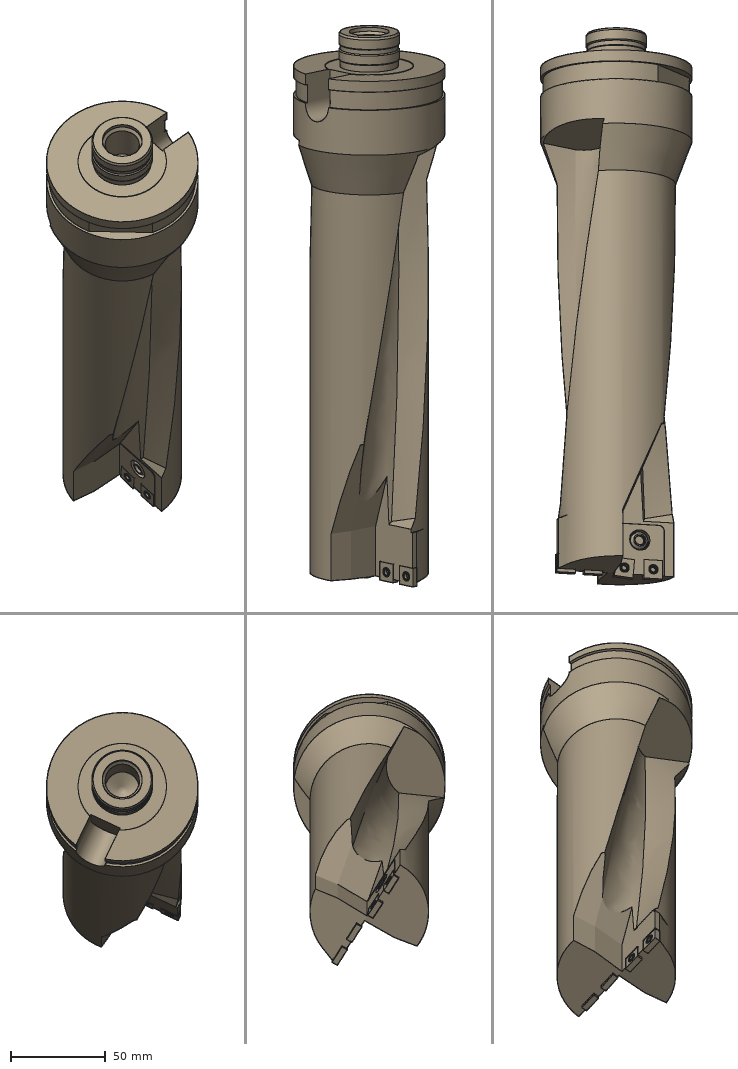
import cadquery as cq
import math

TOTAL_HEIGHT = 295.0
FLANGE_DIAMETER = 80.0
FLANGE_RADIUS = FLANGE_DIAMETER / 2
FLANGE_TOP = 276.7
FLANGE_BOTTOM = 270.8
COLLAR_RADIUS = 38.5
COLLAR_BOTTOM = 261.0
HEAD_RADIUS = FLANGE_RADIUS
CONE_TOP = 237.0
CONE_BOTTOM = 213.5
SHANK_RADIUS = 31.3
TIP_Z = 2.0
TIP_RISE = 1.8

RIB_RADIUS = 32.2 / 2
GROOVE_RADIUS = 15.3
NECK_CHAMFER = 1.2
GROOVE_FLANK = 0.5
UPPER_RIB_BOTTOM = 288.8
LOWER_RIB_TOP = 285.3
LOWER_RIB_BOTTOM = 280.5
BORE_DIAMETER = 18.0
BORE_MOUTH_DIAMETER = 21.0
BORE_MOUTH_DEPTH = 2.0
BORE_DEPTH = 23.5
BORE_TIP_ANGLE = 118.0
SEAT_DIAMETER = 46.5
SEAT_DEPTH = 0.3

SLOT_WIDTH = 17.0
SLOT_INNER_END = 20.6
SLOT_DEPTH = 24.2
FLAT_ANGLE = -43.0
FLAT_DISTANCE = 34.8

FLUTE_BOTTOM = 31.3
FLUTE_RAMP_TOP = 39.0
FLUTE_RAMP_DEPTH = 4.5
FLUTE_TOP = 244.8
TWIST_RATE = 0.3017
FLUTE_END_Z = 237.5
FLUTE_END_TILT = 13.0
FLUTE_END_SLOPE = 10.0
FLUTE_END_X = -29.5
FLUTE_END_Y = -17.7

FLUTE_LEADING_MOUTH = (-44.2, 7.7)
FLUTE_LEADING_FOOT = (-21.2, 3.5)
FLUTE_FLOOR = (-11.5, -4.0)
FLUTE_TRAILING_FOOT = (-8.3, -13.3)
FLUTE_TRAILING_MOUTH = (-26.0, -44.2)

POCKET_WALL_X = -1.8
OUTER_POCKET_WALL_X = 4.7
POCKET_STEP_Z = 29.0
RUNOUT_X = 19.5
RUNOUT_TOP = 78.0
POCKET_BEND_DEPTH = 18.3
POCKET_LEAN = 9.0
CLEARANCE = 44.2

INSERT_SIZE = 10.0
INSERT_THICKNESS = 3.2
INSERT_HOLE = 5.0
INSERT_SCREW = 4.7
INSERT_SCREW_CHAMFER = 0.3
INSERT_SOCKET = 3.0
SOCKET_DEPTH = 1.8
INSERT_TILT = 5.0
TILT_RADIANS = math.radians(INSERT_TILT)
INSERT_HEIGHT = INSERT_SIZE / 2 * (math.cos(TILT_RADIANS) + math.sin(TILT_RADIANS))
INSERTS = [(4.5, INSERT_TILT, 0.0), (20.0, 0.0, 0.0), (13.0, 0.0, 180.0), (27.7, 0.0, 180.0)]

PAD_RIGHT = 26.0
PAD_TOP = 29.5
PAD_RAISE = 0.3
PAD_CORNER = 3.0
CLAMP_X = 12.7
CLAMP_Z = 21.0
CLAMP_SEAT = 11.0
CLAMP_HEAD = 9.5
CLAMP_HEAD_CHAMFER = 1.5
CLAMP_SOCKET = 5.0
CLAMP_DEPTH = 3.5
RIM_PAD_DEPTH = 11.0
RIM_PAD_RAISE = 1.0
RIM_PAD_BEND = 3.2


def turned_blank():
    """Shank, cone, head, flange and ribbed neck as one revolved profile."""
    flank = GROOVE_FLANK
    profile = [
        (0, 0), (SHANK_RADIUS, 0), (SHANK_RADIUS, CONE_BOTTOM), (HEAD_RADIUS, CONE_TOP),
        (HEAD_RADIUS, COLLAR_BOTTOM), (COLLAR_RADIUS, COLLAR_BOTTOM), (COLLAR_RADIUS, FLANGE_BOTTOM),
        (FLANGE_RADIUS, FLANGE_BOTTOM), (FLANGE_RADIUS, FLANGE_TOP),
        (SEAT_DIAMETER / 2, FLANGE_TOP), (SEAT_DIAMETER / 2, FLANGE_TOP - SEAT_DEPTH),
        (GROOVE_RADIUS, FLANGE_TOP - SEAT_DEPTH),
        (GROOVE_RADIUS, LOWER_RIB_BOTTOM - flank), (RIB_RADIUS, LOWER_RIB_BOTTOM),
        (RIB_RADIUS, LOWER_RIB_TOP), (GROOVE_RADIUS, LOWER_RIB_TOP + flank),
        (GROOVE_RADIUS, UPPER_RIB_BOTTOM - flank), (RIB_RADIUS, UPPER_RIB_BOTTOM),
        (RIB_RADIUS, TOTAL_HEIGHT - NECK_CHAMFER), (GROOVE_RADIUS, TOTAL_HEIGHT), (0, TOTAL_HEIGHT),
    ]
    return cq.Workplane("XZ").polyline(profile).close().revolve(360, (0, 0), (0, 1))


def neck_bore():
    """Blind bore with a wider mouth and a drilled tip."""
    radius = BORE_DIAMETER / 2
    mouth = BORE_MOUTH_DIAMETER / 2
    tip = radius / math.tan(math.radians(BORE_TIP_ANGLE / 2))
    floor = TOTAL_HEIGHT - BORE_DEPTH
    profile = [
        (0, TOTAL_HEIGHT), (mouth, TOTAL_HEIGHT), (mouth, TOTAL_HEIGHT - BORE_MOUTH_DEPTH),
        (radius, TOTAL_HEIGHT - BORE_MOUTH_DEPTH - (mouth - radius)), (radius, floor), (0, floor - tip),
    ]
    return cq.Workplane("XZ").polyline(profile).close().revolve(360, (0, 0), (0, 1))


def drive_slot():
    """Round-bottomed radial slot, open at the rim on +Y."""
    radius = SLOT_WIDTH / 2
    axis_z = FLANGE_TOP - SLOT_DEPTH + radius
    return (
        cq.Workplane("XZ", origin=(0, SLOT_INNER_END, 0))
        .moveTo(-radius, TOTAL_HEIGHT)
        .lineTo(-radius, axis_z)
        .threePointArc((0, axis_z - radius), (radius, axis_z))
        .lineTo(radius, TOTAL_HEIGHT)
        .close()
        .extrude(-CLEARANCE)
    )


def collar_flat():
    """Block that leaves one flat on the collar band."""
    height = FLANGE_BOTTOM - COLLAR_BOTTOM
    block = cq.Workplane("XY").box(CLEARANCE, 2 * CLEARANCE, height, centered=(False, True, False))
    return block.translate((FLAT_DISTANCE, 0, COLLAR_BOTTOM)).rotate((0, 0, 0), (0, 0, 1), FLAT_ANGLE)


def flute():
    """Twisted flute on the -X side, closed at the top by a sloped end."""
    height = FLUTE_TOP - FLUTE_BOTTOM
    start_angle = TWIST_RATE * (FLUTE_BOTTOM - CONE_BOTTOM)
    cutter = (
        cq.Workplane("XY")
        .moveTo(*FLUTE_LEADING_MOUTH)
        .lineTo(*FLUTE_LEADING_FOOT)
        .threePointArc(FLUTE_FLOOR, FLUTE_TRAILING_FOOT)
        .lineTo(*FLUTE_TRAILING_MOUTH)
        .lineTo(-CLEARANCE, -CLEARANCE)
        .close()
        .twistExtrude(height, TWIST_RATE * height)
        .rotate((0, 0, 0), (0, 0, 1), start_angle)
        .translate((0, 0, FLUTE_BOTTOM))
    )
    beyond_end = (
        cq.Workplane("XY")
        .box(4 * CLEARANCE, 4 * CLEARANCE, CLEARANCE, centered=(True, True, False))
        .rotate((0, 0, 0), (1, 0, 0), -FLUTE_END_TILT)
        .rotate((0, 0, 0), (0, 1, 0), FLUTE_END_SLOPE)
        .translate((FLUTE_END_X, FLUTE_END_Y, FLUTE_END_Z))
    )
    ramp_profile = [
        (-2 * CLEARANCE, 0), (-2 * CLEARANCE, FLUTE_RAMP_TOP), (-FLUTE_RAMP_DEPTH, FLUTE_RAMP_TOP),
        (0, FLUTE_BOTTOM), (0, 0),
    ]
    below_ramp = cq.Workplane("YZ").polyline(ramp_profile).close().extrude(2 * CLEARANCE, both=True)
    return cutter.cut(beyond_end).cut(below_ramp)


def chip_pocket(wall_x):
    """Quadrant pocket on the +X -Y side, with its floor on the plane Y = 0."""
    outline = [
        (wall_x, -CLEARANCE), (wall_x, POCKET_STEP_Z), (RUNOUT_X, RUNOUT_TOP),
        (CLEARANCE, RUNOUT_TOP), (CLEARANCE, -CLEARANCE),
    ]
    inner = cq.Workplane("XZ").polyline(outline).close().extrude(POCKET_BEND_DEPTH)
    outer = (
        cq.Workplane("XZ", origin=(0, -POCKET_BEND_DEPTH, 0))
        .polyline(outline).close().extrude(CLEARANCE, taper=-POCKET_LEAN)
    )
    return inner.union(outer)


def roof_bottom():
    """Material below the two bottom faces that meet in a ridge along X."""
    reach = 2 * CLEARANCE
    rise = TIP_RISE * reach / SHANK_RADIUS
    profile = [(-reach, TIP_Z + rise), (0, TIP_Z), (reach, TIP_Z + rise), (reach, -reach), (-reach, -reach)]
    return cq.Workplane("YZ").polyline(profile).close().extrude(CLEARANCE, both=True)


def face_pad():
    """Slightly raised cartridge face on the floor of the +X pocket."""
    width = PAD_RIGHT - POCKET_WALL_X
    pad = cq.Workplane("XY").box(width, PAD_RAISE, PAD_TOP, centered=False)
    pad = pad.edges("|Y and >X and >Z").fillet(PAD_CORNER)
    return pad.translate((POCKET_WALL_X, -PAD_RAISE, 0))


def rim_pad():
    """Cartridge back that stands proud of the rim on the -X side."""
    start_x = -math.sqrt(SHANK_RADIUS**2 - RIM_PAD_DEPTH**2)
    profile = [
        (start_x, -RIM_PAD_DEPTH), (-SHANK_RADIUS - RIM_PAD_RAISE, -RIM_PAD_BEND),
        (-SHANK_RADIUS - RIM_PAD_RAISE, 0), (start_x, 0),
    ]
    return cq.Workplane("XY").polyline(profile).close().extrude(PAD_TOP)


def cylinder_y(diameter, x, z, y_front, depth):
    """Cylinder along +Y that starts at y_front."""
    return cq.Workplane("XZ", origin=(x, y_front, z)).circle(diameter / 2).extrude(-depth)


def clamp_screw():
    """Domed screw head that fills most of its round seat."""
    head = cylinder_y(CLAMP_HEAD, CLAMP_X, CLAMP_Z, -PAD_RAISE, CLAMP_DEPTH)
    head = head.faces("<Y").chamfer(CLAMP_HEAD_CHAMFER)
    return head.cut(cylinder_y(CLAMP_SOCKET, CLAMP_X, CLAMP_Z, -PAD_RAISE, SOCKET_DEPTH))


def place(shape, distance, tilt, turn):
    """Move a shape made at the origin to an insert seat."""
    shape = shape.rotate((0, 0, 0), (0, 1, 0), tilt)
    shape = shape.translate((distance, -PAD_RAISE, INSERT_HEIGHT))
    return shape.rotate((0, 0, 0), (0, 0, 1), turn)


def insert_blank():
    """Solid square plate with its front face on the plane Y = 0."""
    return cq.Workplane("XY").box(INSERT_SIZE, INSERT_THICKNESS, INSERT_SIZE, centered=(True, False, True))


def make_insert(distance, tilt, turn):
    """Square cutting plate with a round hole through it."""
    plate = insert_blank().cut(cylinder_y(INSERT_HOLE, 0, 0, 0, INSERT_THICKNESS))
    return place(plate, distance, tilt, turn)


def insert_screw():
    """Socketed screw that stands on the seat floor inside the insert hole."""
    screw = cylinder_y(INSERT_SCREW, 0, 0, 0, INSERT_THICKNESS).faces("<Y").chamfer(INSERT_SCREW_CHAMFER)
    return screw.cut(cylinder_y(INSERT_SOCKET, 0, 0, 0, SOCKET_DEPTH))


def make_drill_body():
    """Drill with flutes, pockets, cartridge pads, insert seats and screws."""
    body = turned_blank().cut(neck_bore()).cut(drive_slot()).cut(collar_flat())
    body = body.union(rim_pad())
    for turn in (0, 180):
        body = body.cut(flute().rotate((0, 0, 0), (0, 0, 1), turn))
    outer_pocket = chip_pocket(OUTER_POCKET_WALL_X).rotate((0, 0, 0), (0, 0, 1), 180)
    body = body.cut(chip_pocket(POCKET_WALL_X)).cut(outer_pocket)
    body = body.union(face_pad())
    body = body.cut(cylinder_y(CLAMP_SEAT, CLAMP_X, CLAMP_Z, -PAD_RAISE, CLAMP_DEPTH)).union(clamp_screw())
    body = body.cut(roof_bottom())
    for seat in INSERTS:
        body = body.cut(place(insert_blank(), *seat)).union(place(insert_screw(), *seat))
    return body


drill_body = make_drill_body()
inserts = [make_insert(*seat) for seat in INSERTS]

result = cq.Compound.makeCompound([drill_body.val(), *[insert.val() for insert in inserts]])